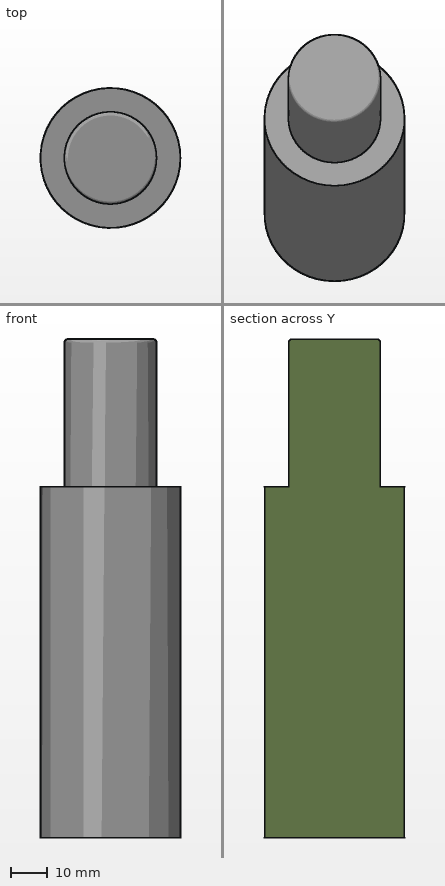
import cadquery as cq

total_height = 135.0
body_diameter = 38.0
body_height = 95.0
spigot_diameter = 25.0
spigot_height = total_height - body_height
tip_radius = 1.0

body = cq.Workplane("XY").circle(body_diameter / 2).extrude(body_height)

spigot = (
    cq.Workplane("XY")
    .workplane(offset=body_height)
    .circle(spigot_diameter / 2)
    .extrude(spigot_height)
    .faces(">Z")
    .edges()
    .fillet(tip_radius)
)

result = body.union(spigot)